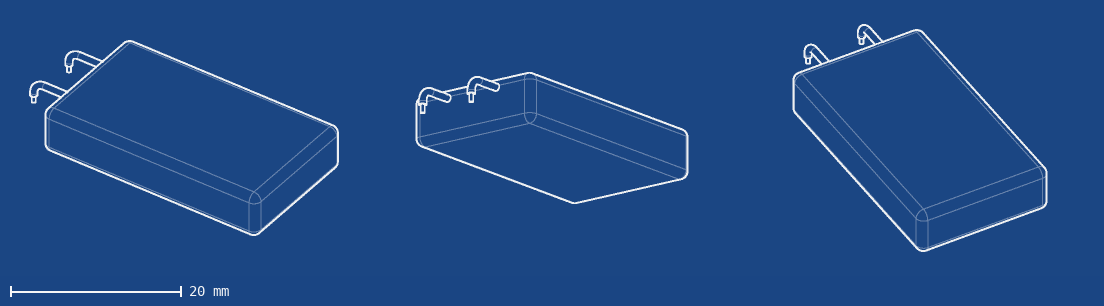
import cadquery as cq

body_length = 30.5
body_width = 17.5
body_height = 6.12
edge_radius = 1.0

insulation_diameter = 0.9
conductor_diameter = 0.5
lead_spacing = 7.2
lead_drop_below_top = 1.21
lead_reach = 5.2
bend_radius = 1.5
insulation_tail = 0.4
conductor_length = 1.0
lead_embed = edge_radius

body_end_x = -body_length / 2
lead_axis_z = body_height - lead_drop_below_top
tail_x = body_end_x - lead_reach + insulation_diameter / 2
bend_start_x = tail_x + bend_radius
bend_end_z = lead_axis_z - bend_radius
insulation_end_z = bend_end_z - insulation_tail


def make_body():
    """Block with every edge rounded."""
    block = cq.Workplane("XY").box(
        body_length, body_width, body_height, centered=(True, True, False)
    )
    return block.edges().fillet(edge_radius)


def make_lead(y):
    """Insulated wire leaving the body along -X and bending down to a bare end."""
    start_x = body_end_x + lead_embed
    path = (
        cq.Workplane("XZ", origin=(0, y, 0))
        .moveTo(start_x, lead_axis_z)
        .lineTo(bend_start_x, lead_axis_z)
        .tangentArcPoint((tail_x, bend_end_z), relative=False)
        .lineTo(tail_x, insulation_end_z)
    )
    insulation = (
        cq.Workplane("YZ", origin=(start_x, y, lead_axis_z))
        .circle(insulation_diameter / 2)
        .sweep(path)
    )
    conductor = (
        cq.Workplane("XY", origin=(tail_x, y, insulation_end_z))
        .circle(conductor_diameter / 2)
        .extrude(-conductor_length)
    )
    return insulation.union(conductor)


result = make_body()
for lead_y in (-lead_spacing / 2, lead_spacing / 2):
    result = result.union(make_lead(lead_y))